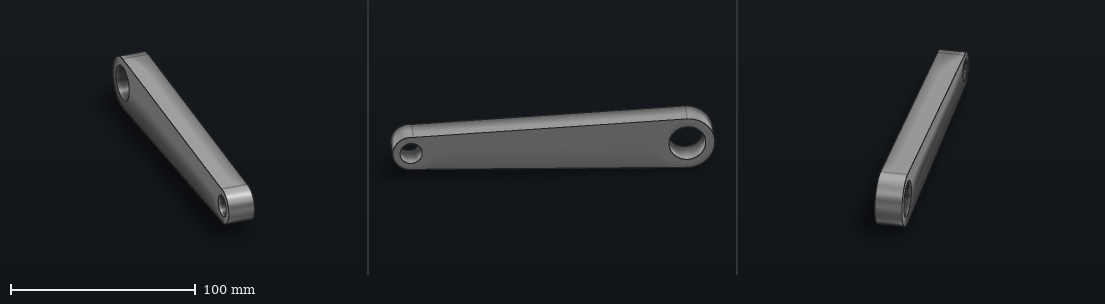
import cadquery as cq
import math

length = 175.0
thickness = 15.0
big_end_diameter = 30.0
small_end_diameter = 20.0
big_bore_diameter = 20.0
small_bore_diameter = 12.0
flank_setback = 1.2

big_radius = big_end_diameter / 2
small_radius = small_end_diameter / 2
center_distance = length - big_radius - small_radius

flank_end_x = center_distance - flank_setback
flank_end_z = math.sqrt(small_radius**2 - flank_setback**2)

arm = (
    cq.Workplane("XZ")
    .moveTo(0, big_radius)
    .lineTo(flank_end_x, flank_end_z)
    .threePointArc((center_distance + small_radius, 0), (flank_end_x, -flank_end_z))
    .lineTo(0, -big_radius)
    .threePointArc((-big_radius, 0), (0, big_radius))
    .close()
    .extrude(thickness / 2, both=True)
)


def bore(center_x, diameter):
    """Cylinder through the full thickness, along Y."""
    return (
        cq.Workplane("XZ")
        .center(center_x, 0)
        .circle(diameter / 2)
        .extrude(thickness / 2, both=True)
    )


result = arm.cut(bore(0, big_bore_diameter)).cut(bore(center_distance, small_bore_diameter))